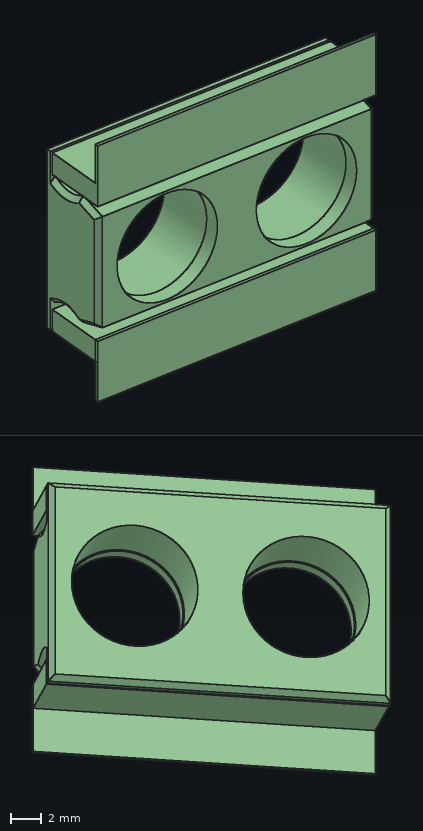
import cadquery as cq

depth = 5.97
length = 23.05
height = 20.0

plate_thickness = 0.78
plate_height = 13.95
chamfer_size = 0.4
groove_center_x = 2.33
groove_half_width = groove_center_x - plate_thickness
groove_half_height = 4.47
ridge_half_height = 4.95
tail_half_height = 4.33
ridge_x = groove_center_x + groove_half_width

hole_spacing = 11.52
hole_diameter = 8.48
rear_hole_diameter = 8.3
wide_hole_depth = 4.8

rail_front_x = 1.0
rail_inner_z = 5.25
rail_outer_z = plate_height / 2
flange_thickness = 0.25
flange_front_x = depth - flange_thickness


def box_between(x_start, x_end, z_start, z_end):
    """Full-length box between the given X and Z limits, centred on Y."""
    return (
        cq.Workplane("XY")
        .box(x_end - x_start, length, z_end - z_start, centered=(False, True, False))
        .translate((x_start, 0, z_start))
    )


def make_plate():
    plate = box_between(0, plate_thickness, -plate_height / 2, plate_height / 2)
    return plate.faces("<X").edges().chamfer(chamfer_size)


def make_plug_body():
    profile = (
        cq.Workplane("XZ", origin=(0, length / 2, 0))
        .moveTo(plate_thickness, -ridge_half_height)
        .threePointArc((groove_center_x, -groove_half_height), (ridge_x, -ridge_half_height))
        .lineTo(depth, -tail_half_height)
        .lineTo(depth, tail_half_height)
        .lineTo(ridge_x, ridge_half_height)
        .threePointArc((groove_center_x, groove_half_height), (plate_thickness, ridge_half_height))
        .close()
    )
    body = profile.extrude(length)
    for end in ("<Y", ">Y"):
        body = body.faces(end).edges("not(<X)").chamfer(chamfer_size)
    return body


def make_plug():
    plug = make_plate().union(make_plug_body())
    centers = [(-hole_spacing / 2, 0), (hole_spacing / 2, 0)]
    for diameter, hole_depth in ((rear_hole_diameter, depth), (hole_diameter, wide_hole_depth)):
        holes = cq.Workplane("YZ").pushPoints(centers).circle(diameter / 2).extrude(hole_depth)
        plug = plug.cut(holes)
    return plug


def make_upper_rail():
    """One-piece L section: block with an upright flange at its rear."""
    block = box_between(rail_front_x, depth, rail_inner_z, rail_outer_z)
    flange = box_between(flange_front_x, depth, rail_inner_z, height / 2)
    return block.union(flange)


def make_lower_block():
    return box_between(rail_front_x, flange_front_x, -rail_outer_z, -rail_inner_z)


def make_lower_flange():
    """Plate lying against the rear of the lower block."""
    return box_between(flange_front_x, depth, -height / 2, -rail_inner_z)


plug = make_plug()
upper_rail = make_upper_rail()
lower_block = make_lower_block()
lower_flange = make_lower_flange()

result = cq.Compound.makeCompound(
    [plug.val(), upper_rail.val(), lower_block.val(), lower_flange.val()]
)